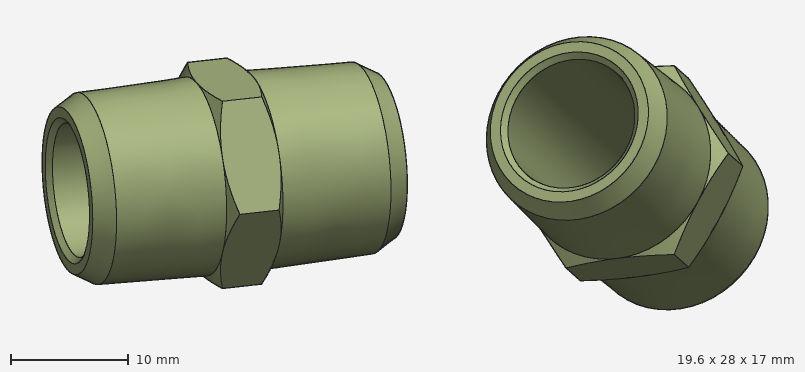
import cadquery as cq
import math

length = 28.0
bore_diameter = 11.5
bore_mouth_diameter = 12.5
bore_chamfer_angle = 45.0

root_diameter = 17.0
shoulder_diameter = 16.4
end_diameter = 14.35
end_chamfer_length = 1.8

across_flats = 17.0
hex_width = 5.0
hex_chamfer_angle = 30.0

half_length = length / 2
half_hex = hex_width / 2
across_corners = across_flats / math.cos(math.radians(30))


def revolve_about_y(points):
    """Solid of revolution from (radius, y) points."""
    return cq.Workplane("XY").polyline(points).close().revolve(360, (0, 0, 0), (0, 1, 0))


def mirrored_profile(upper_points):
    """Closed profile from points at positive y, listed from the middle outward."""
    lower_points = [(radius, -y) for radius, y in upper_points]
    return list(reversed(lower_points)) + upper_points


def tapered_body():
    return revolve_about_y(mirrored_profile([
        (root_diameter / 2, half_hex),
        (shoulder_diameter / 2, half_length - end_chamfer_length),
        (end_diameter / 2, half_length),
        (0, half_length),
    ]))


def hex_collar():
    prism = (
        cq.Workplane("XZ")
        .polygon(6, across_corners)
        .extrude(half_hex, both=True)
    )
    corner_overhang = (across_corners - across_flats) / 2
    chamfer_drop = corner_overhang * math.tan(math.radians(hex_chamfer_angle))
    envelope = revolve_about_y(mirrored_profile([
        (across_corners / 2, half_hex - chamfer_drop),
        (across_flats / 2, half_hex),
        (0, half_hex),
    ]))
    return prism.intersect(envelope)


def through_bore():
    mouth_step = (bore_mouth_diameter - bore_diameter) / 2
    mouth_depth = mouth_step / math.tan(math.radians(bore_chamfer_angle))
    return revolve_about_y(mirrored_profile([
        (bore_diameter / 2, half_length - mouth_depth),
        (bore_mouth_diameter / 2, half_length),
        (0, half_length),
    ]))


result = tapered_body().union(hex_collar()).cut(through_bore())